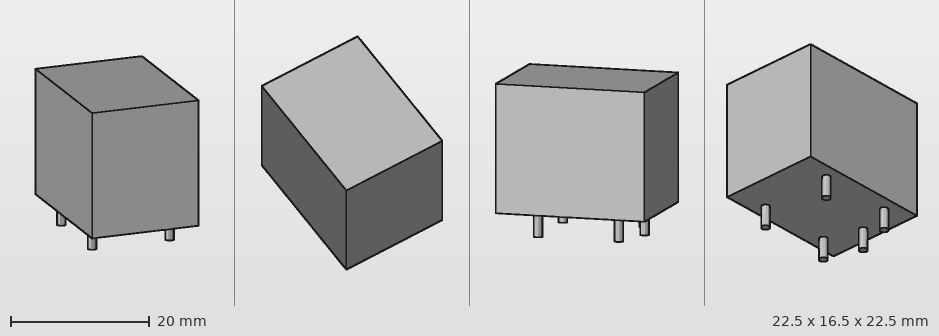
import cadquery as cq

housing_length = 22.5
housing_width = 16.5
housing_height = 19.0

pin_diameter = 1.3
pin_length = 3.5

common_pin_x = -8.7
common_to_coil = 2.0
common_to_contact = 14.2
coil_pin_x = common_pin_x + common_to_coil
contact_pin_x = common_pin_x + common_to_contact
pin_row_y = 6.0

pin_places = [(common_pin_x, 0)]
for pair_x in (coil_pin_x, contact_pin_x):
    for side in (-1, 1):
        pin_places.append((pair_x, side * pin_row_y))


def make_housing():
    return cq.Workplane("XY").box(
        housing_length, housing_width, housing_height, centered=(True, True, False)
    )


def make_pin(x, y):
    """One pin whose top face touches the underside of the housing."""
    return cq.Workplane("XY").center(x, y).circle(pin_diameter / 2).extrude(-pin_length)


housing = make_housing()
pins = [make_pin(x, y) for x, y in pin_places]

result = cq.Compound.makeCompound([housing.val(), *[pin.val() for pin in pins]])